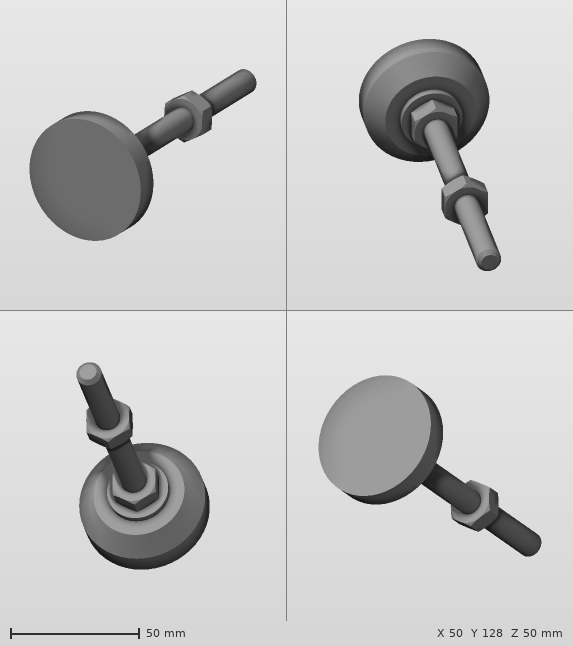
import cadquery as cq
import math

total_length = 128.0

base_radius = 25.02
base_rim_height = 10.0
base_top_radius = 18.0
base_height = 17.0

collar_radius = 12.2
collar_top = 20.0

rod_radius = 5.0
rod_tip_chamfer = 1.7

nut_across_flats = 17.0
nut_height = 8.0
nut_chamfer_angle = 30.0
nut_face_radius = nut_across_flats / 2
lower_nut_start = collar_top
upper_nut_start = 77.3


def revolve_about_y(points):
    """Turn a closed (radius, height) outline about the Y axis."""
    return cq.Workplane("XY").polyline(points).close().revolve(360, (0, 0, 0), (0, 1, 0))


def make_nut(start):
    """Hexagon nut with flats facing +/-X and corners rounded off by cones at both faces."""
    corner_radius = nut_across_flats / math.sqrt(3)
    corner_drop = (corner_radius - nut_face_radius) * math.tan(math.radians(nut_chamfer_angle))
    end = start + nut_height
    hexagon = (
        cq.Workplane("XZ", origin=(0, start, 0))
        .transformed(rotate=(0, 0, 90))
        .polygon(6, 2 * corner_radius)
        .extrude(-nut_height)
    )
    cone_envelope = revolve_about_y([
        (0, start),
        (nut_face_radius, start),
        (corner_radius, start + corner_drop),
        (corner_radius, end - corner_drop),
        (nut_face_radius, end),
        (0, end),
    ])
    return hexagon.intersect(cone_envelope)


foot = revolve_about_y([
    (0, 0),
    (base_radius, 0),
    (base_radius, base_rim_height),
    (base_top_radius, base_height),
    (collar_radius, base_height),
    (collar_radius, collar_top),
    (rod_radius, collar_top),
    (rod_radius, total_length - rod_tip_chamfer),
    (rod_radius - rod_tip_chamfer, total_length),
    (0, total_length),
])

result = foot
for nut_start in (lower_nut_start, upper_nut_start):
    result = result.union(make_nut(nut_start))